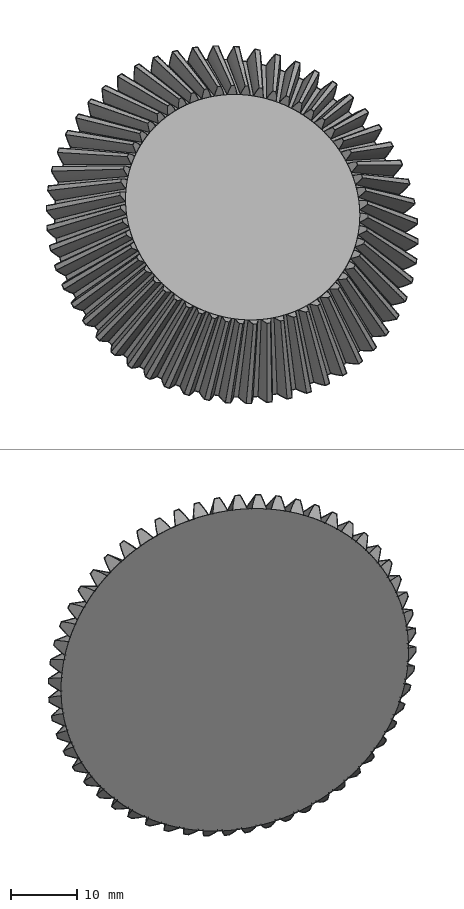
import cadquery as cq
import math


OUTSIDE_DIAMETER = 57.4
TOOTH_COUNT = 56
CONE_ANGLE = math.radians(45)
PRESSURE_ANGLE = math.radians(20)
ADDENDUM_FACTOR = 1.0
CLEARANCE_FACTOR = 0.25
FACE_SHARE = 1 / 3
AXIS_TILT = 45.0

FLANK_POINTS = 6
LENGTH_OVERRUN = 0.05
ROOT_OVERLAP = 0.3

module = OUTSIDE_DIAMETER / (TOOTH_COUNT + 2 * ADDENDUM_FACTOR * math.cos(CONE_ANGLE))
pitch_radius = module * TOOTH_COUNT / 2
cone_distance = pitch_radius / math.sin(CONE_ANGLE)
addendum = ADDENDUM_FACTOR * module
dedendum = (ADDENDUM_FACTOR + CLEARANCE_FACTOR) * module
small_end_scale = 1 - FACE_SHARE

spur_radius = pitch_radius / math.cos(CONE_ANGLE)
base_radius = spur_radius * math.cos(PRESSURE_ANGLE)


def end_point(height, scale=1.0):
    """(radius, z) on an end cone, at a height above the pitch cone; scale shrinks towards the apex."""
    radius = pitch_radius + height * math.cos(CONE_ANGLE)
    z = -cone_distance * math.cos(CONE_ANGLE) + height * math.sin(CONE_ANGLE)
    return radius * scale, z * scale


large_root = end_point(-dedendum)
small_root = end_point(-dedendum, small_end_scale)


def revolve_profile(points):
    """Solid of revolution about Z from (radius, z) corners."""
    return cq.Workplane("XZ").polyline(points).close().revolve(360, (0, 0, 0), (0, 1, 0))


def involute(angle):
    return math.tan(angle) - angle


def tooth_half_angle(radius):
    """Half the angle a tooth spans at a radius of the equivalent spur gear."""
    at_pitch = math.pi * module / 4 / spur_radius
    return at_pitch + involute(PRESSURE_ANGLE) - involute(math.acos(base_radius / radius))


def tooth_section(scale):
    """Tooth outline in a plane square to the pitch cone, passing beyond the root and the tip."""
    lowest = spur_radius - dedendum - ROOT_OVERLAP
    highest = spur_radius + addendum + ROOT_OVERLAP
    step = (highest - lowest) / (FLANK_POINTS - 1)

    rising_flank = []
    for i in range(FLANK_POINTS):
        radius = lowest + i * step
        angle = tooth_half_angle(radius)
        across = radius * math.sin(angle)
        height = radius * math.cos(angle) - spur_radius
        rising_flank.append((across * scale, height * scale))
    falling_flank = [(-across, height) for across, height in reversed(rising_flank)]

    pitch_line = cq.Vector(math.sin(CONE_ANGLE), 0, -math.cos(CONE_ANGLE))
    plane = cq.Plane(origin=pitch_line * (cone_distance * scale), xDir=(0, 1, 0), normal=pitch_line)
    return (
        cq.Workplane(plane)
        .moveTo(*rising_flank[0])
        .spline(rising_flank[1:], includeCurrent=True)
        .lineTo(*falling_flank[0])
        .spline(falling_flank[1:], includeCurrent=True)
        .close()
        .wire()
        .val()
    )


def make_body():
    """Solid cone frustum up to the tooth roots."""
    return revolve_profile([(0, large_root[1]), large_root, small_root, (0, small_root[1])]).val()


def make_tooth():
    """One tapering tooth, trimmed by the tip cone and both end cones."""
    envelope = revolve_profile([
        (large_root[0] - ROOT_OVERLAP, large_root[1]),
        large_root,
        end_point(addendum),
        end_point(addendum, small_end_scale),
        small_root,
        (small_root[0] - ROOT_OVERLAP, small_root[1]),
    ])
    large_section = tooth_section(1 + LENGTH_OVERRUN)
    small_section = tooth_section(small_end_scale - LENGTH_OVERRUN)
    wedge = cq.Solid.makeLoft([large_section, small_section], True)
    return envelope.intersect(cq.Workplane(wedge)).val()


def make_gear():
    """Body with the teeth spaced evenly around it."""
    tooth = make_tooth()
    pitch_angle = 360 / TOOTH_COUNT
    teeth = [tooth.rotate((0, 0, 0), (0, 0, 1), i * pitch_angle) for i in range(TOOTH_COUNT)]
    return make_body().fuse(*teeth).clean().Solids()[0]


result = cq.Workplane(make_gear()).rotate((0, 0, 0), (0, 1, 0), AXIS_TILT)